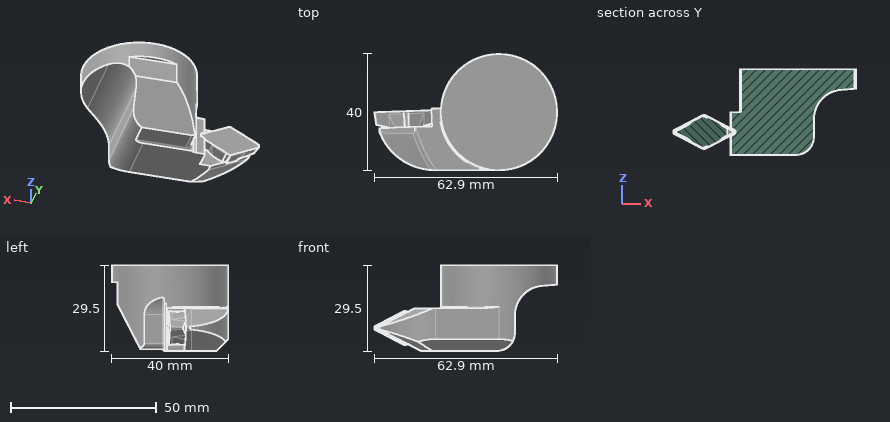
import cadquery as cq
import math


shank_diameter = 40.0
shank_radius = shank_diameter / 2
total_length = 62.9
total_height = 29.5
tip_x = shank_radius - total_length
edge_height = 7.9
seat_tilt = 2.0

insert_thickness = 5.55
insert_half_width = 5.35
insert_half_angle = 27.5
insert_clearance = 7.0
nose_radius = 0.8
corner_relief_start = 4.3
corner_relief_length = 4.9
pad_top = 0.8
pad_length = 5.9
front_pad_start = 6.6
rear_pad_start = 5.8
pad_run_in = 2.0

arm_height = 14.8
arm_front_corner_x = -21.95
arm_face_rise = 0.55
arm_corner_chamfer = 0.3
pocket_wall = 19.7
plan_setback = 1.2
wedge_setback = 1.8
wedge_nose_radius = nose_radius
bottom_chamfer = 4.1
neck_fillet = 0.45

cone_x = 13.2
cone_y = 5.65
cone_radius = 55.95
cone_rim = 0.4
cone_slope = 0.541
cone_fillet = 3.15

heel_x = 5.55
heel_round = 6.3
heel_arc_start = 12.4
heel_arc_radius = 10.0
heel_roof_slope = 4.5
flat_y = 18.1
flat_top = 23.6
slope_top = 16.0
slope_foot_y = 10.2
back_bottom = 0.55

gullet_x = -17.9
gullet_y = 1.95
gullet_corner_radius = 0.8
gullet_arc_start = 12.6
gullet_arc_radius = heel_arc_radius
gullet_foot_radius = 2.15
ledge_x = -18.9
ledge_arc_start = 11.95

margin = 31.45

half_angle = math.radians(insert_half_angle)
tilt = math.radians(seat_tilt)
flank_run = insert_half_width / math.sin(half_angle)
flank_rise = insert_half_width / math.cos(half_angle)
nose_setback = nose_radius * (1 / math.sin(half_angle) - 1)
tip_to_centre = flank_run - nose_setback


def seat_point(along, outward):
    """Plan point given along the tilted seat from the cutting tip, and square to it."""
    x = tip_x + along * math.cos(tilt) - outward * math.sin(tilt)
    y = along * math.sin(tilt) + outward * math.cos(tilt)
    return (x, y)


def place_on_seat(body):
    """Move a body built with the tip at the origin to its tilted place."""
    return body.rotate((0, 0, 0), (0, 0, 1), seat_tilt).translate((tip_x, 0, edge_height))


def insert_outline():
    """Rhombus with rounded corners, as a sketch."""
    corners = [(-flank_run, 0), (0, -flank_rise), (flank_run, 0), (0, flank_rise), (-flank_run, 0)]
    return cq.Sketch().polygon(corners).vertices().fillet(nose_radius)


def flank_pad(pad_start):
    """Upright pad on one of the front flanks, tapering to nothing near the cutting edge."""
    clearance_slope = math.tan(math.radians(insert_clearance))
    face = insert_half_width - pad_top * clearance_slope
    pad_height = insert_thickness - pad_top
    root = face - 2 * pad_height * clearance_slope
    corner_to_middle = insert_half_width / math.tan(half_angle)
    start = pad_start - corner_to_middle
    end = start + pad_length

    def section(run_in):
        outer_start = start + run_in
        root_start = outer_start - 2 * pad_run_in
        return [(outer_start, face), (end, face), (end, root), (root_start, root)]

    pad = (cq.Workplane("XZ").workplane(offset=pad_top).polyline(section(0)).close()
           .workplane(offset=pad_height).polyline(section(pad_run_in)).close()
           .loft(ruled=True))
    return pad.rotate((0, 0, 0), (0, 1, 0), -insert_half_angle)


def make_insert():
    body = cq.Workplane("XZ").placeSketch(insert_outline()).extrude(insert_thickness, taper=insert_clearance)
    for pad in (flank_pad(front_pad_start), flank_pad(rear_pad_start).mirror("YZ")):
        body = body.union(pad).union(pad.mirror("XY"))
    tip = tip_to_centre
    far_x = -tip - margin
    relief = (cq.Workplane("XY")
              .polyline([(-tip, -corner_relief_start), (corner_relief_length - tip, -insert_thickness),
                         (far_x, -insert_thickness - margin), (far_x, -corner_relief_start)])
              .close().extrude(margin, both=True))
    body = body.cut(relief).cut(relief.mirror("YZ"))
    return place_on_seat(body.translate((tip_to_centre, 0, 0)))


def arm_plan():
    """Block of arm height with the plan outline of the arm."""
    return (cq.Workplane("XY").moveTo(0, -shank_radius).lineTo(arm_front_corner_x, -shank_radius)
            .tangentArcPoint(seat_point(plan_setback, -insert_thickness), relative=False)
            .lineTo(*seat_point(pocket_wall, -insert_thickness))
            .lineTo(*seat_point(pocket_wall, arm_face_rise - arm_corner_chamfer))
            .lineTo(*seat_point(pocket_wall + arm_corner_chamfer, arm_face_rise))
            .lineTo(*seat_point(-tip_x, arm_face_rise))
            .close().extrude(arm_height))


def relief_cone():
    """Double cone about an upright axis, with a rounded upper shoulder."""
    slope_angle = math.atan(cone_slope)
    tangent = cone_fillet * math.tan(slope_angle / 2)
    rim_bottom = edge_height - cone_rim
    rim_top = edge_height + cone_rim
    top_radius = cone_radius - (arm_height - rim_top) / cone_slope
    bottom_radius = cone_radius - rim_bottom / cone_slope
    fillet_end = (top_radius - tangent, arm_height)
    fillet_start = (top_radius + tangent * math.cos(slope_angle),
                    arm_height - tangent * math.sin(slope_angle))
    return (cq.Workplane("XZ").moveTo(0, 0).lineTo(bottom_radius, 0)
            .lineTo(cone_radius, rim_bottom).lineTo(cone_radius, rim_top)
            .lineTo(*fillet_start).radiusArc(fillet_end, -cone_fillet)
            .lineTo(0, arm_height).close().revolve(360, (0, 0, 0), (0, 1, 0))
            .translate((cone_x, cone_y, 0)))


def nose_wedge():
    """Wedge parallel to the insert flanks, with a rounded nose."""
    sharp_x = tip_x + wedge_setback - wedge_nose_radius * (1 / math.sin(half_angle) - 1)
    far_x = shank_radius
    rise = (far_x - sharp_x) * math.tan(half_angle)
    return (cq.Workplane("XZ")
            .polyline([(sharp_x, edge_height), (far_x, edge_height - rise), (far_x, edge_height + rise)])
            .close().extrude(margin, both=True).edges("<X").fillet(wedge_nose_radius))


def neck_ring():
    """Concave fillet between the arm top and the shank."""
    neck_top = arm_height + neck_fillet
    return (cq.Workplane("XZ").moveTo(0, arm_height).lineTo(shank_radius + neck_fillet, arm_height)
            .radiusArc((shank_radius, neck_top), neck_fillet)
            .lineTo(0, neck_top).close().revolve(360, (0, 0, 0), (0, 1, 0)))


def make_arm():
    plan = arm_plan()
    neck = neck_ring().intersect(plan.translate((0, 0, neck_fillet)))
    return plan.intersect(relief_cone()).intersect(nose_wedge()).union(neck)


def heel_cutter():
    """Removes the shank beside the arm, leaving an overhanging rim."""
    slope = math.radians(heel_roof_slope)
    arc_end_x = heel_x + heel_arc_radius * (1 - math.sin(slope))
    arc_end_z = heel_arc_start + heel_arc_radius * math.cos(slope)
    far_z = arc_end_z + (margin - arc_end_x) * math.tan(slope)
    return (cq.Workplane("XZ").moveTo(heel_x - heel_round, 0)
            .radiusArc((heel_x, heel_round), -heel_round)
            .lineTo(heel_x, heel_arc_start)
            .radiusArc((arc_end_x, arc_end_z), heel_arc_radius)
            .lineTo(margin, far_z).lineTo(margin, -margin).lineTo(heel_x - heel_round, -margin)
            .close().extrude(margin, both=True))


def back_cutter():
    """Flat and sloping faces on the back of the shank."""
    return (cq.Workplane("YZ")
            .polyline([(margin, flat_top), (flat_y, flat_top), (flat_y, slope_top),
                       (slope_foot_y, back_bottom), (slope_foot_y, -margin), (margin, -margin)])
            .close().extrude(margin, both=True))


def bottom_chamfer_cutter():
    chamfer_foot_y = bottom_chamfer - shank_radius
    return (cq.Workplane("YZ")
            .polyline([(-shank_radius, bottom_chamfer), (chamfer_foot_y, 0),
                       (chamfer_foot_y, -margin), (-margin, -margin), (-margin, bottom_chamfer)])
            .close().extrude(margin, both=True))


def roof_profile(wall_x, arc_start, start_y):
    """Open profile of an arched roof, from the top of an upright wall to far below the part."""
    roof_x = wall_x - gullet_arc_radius
    return (cq.Workplane("XZ", origin=(0, start_y, 0)).moveTo(wall_x, arc_start)
            .radiusArc((roof_x, arc_start + gullet_arc_radius), -gullet_arc_radius)
            .lineTo(roof_x, -margin))


def gullet_cutter():
    """Chip gullet and raised underside behind the arm, with a rounded inner corner."""
    foot = gullet_foot_radius
    profile = (roof_profile(gullet_x, gullet_arc_start, gullet_y)
               .lineTo(margin, -margin).lineTo(margin, back_bottom).lineTo(gullet_x + foot, back_bottom)
               .radiusArc((gullet_x, back_bottom + foot), foot)
               .close())
    return profile.extrude(-margin).faces("<Y").edges().fillet(gullet_corner_radius)


def ledge_cutter():
    """Continues the arm back face a little way into the shank."""
    arm_back_y = seat_point(ledge_x - tip_x, arm_face_rise)[1]
    profile = roof_profile(ledge_x, ledge_arc_start, arm_back_y).lineTo(ledge_x, -margin).close()
    return profile.extrude(-margin)


def insert_recess():
    """Room for the insert, straight-walled and open to the back."""
    block = (cq.Workplane("XZ").workplane(offset=-margin).placeSketch(insert_outline())
             .extrude(insert_thickness + margin).translate((tip_to_centre, 0, 0)))
    return place_on_seat(block)


def make_holder():
    shank = cq.Workplane("XY").circle(shank_radius).extrude(total_height)
    holder = shank.union(make_arm())
    cutters = [heel_cutter(), back_cutter(), bottom_chamfer_cutter(), gullet_cutter(), ledge_cutter(),
               insert_recess()]
    for cutter in cutters:
        holder = holder.cut(cutter)
    return holder


holder = make_holder()
insert = make_insert()

result = cq.Compound.makeCompound([holder.val(), insert.val()])